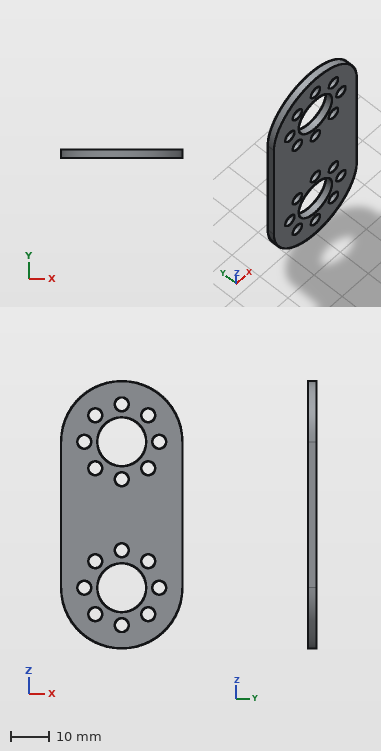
import cadquery as cq

INCH = 25.4

plate_width = 1.25 * INCH
plate_thickness = 0.09 * INCH
hub_spacing = 1.5 * INCH
plate_height = hub_spacing + plate_width
back_face_y = plate_thickness / 2

bore_diameter = 0.5 * INCH
screw_hole_diameter = 0.14 * INCH
screw_circle_diameter = 0.77 * INCH
screws_per_hub = 8


def make_plate():
    """Plate with full-round ends, centred on the origin."""
    return (
        cq.Workplane("XZ", origin=(0, back_face_y, 0))
        .slot2D(plate_height, plate_width, angle=90)
        .extrude(plate_thickness)
    )


def cut_hub_pattern(body, hub_z):
    """Cut a bore and its ring of screw holes through the plate at height hub_z."""
    bore_and_screws = (
        cq.Workplane("XZ", origin=(0, back_face_y, hub_z))
        .circle(bore_diameter / 2)
        .polarArray(screw_circle_diameter / 2, 0, 360, screws_per_hub)
        .circle(screw_hole_diameter / 2)
        .extrude(plate_thickness)
    )
    return body.cut(bore_and_screws)


result = make_plate()
for hub_z in (-hub_spacing / 2, hub_spacing / 2):
    result = cut_hub_pattern(result, hub_z)